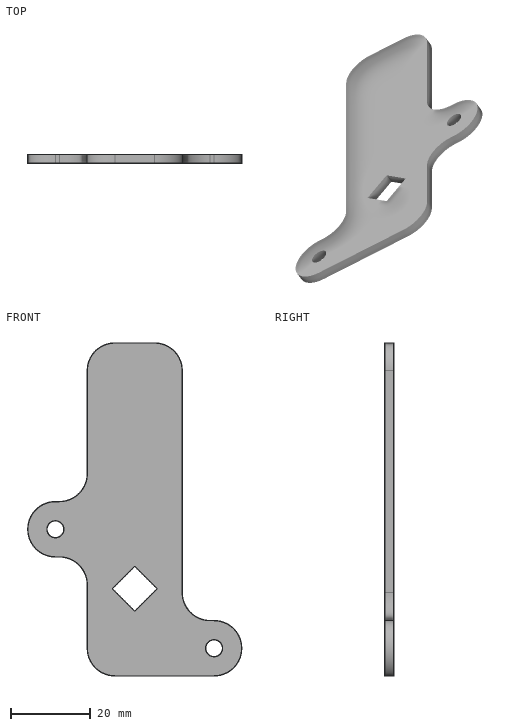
import cadquery as cq

thickness = 2.3
body_width = 24.0
body_height = 84.0
edge_radius = 7.0
lug_offset_x = 20.0
lug_offset_z = 15.0
lug_hole_diameter = 4.2
square_side = 8.0
square_rotation = 45.0

half_width = body_width / 2
body_bottom = -lug_offset_z - edge_radius
body_top = body_bottom + body_height
lug_centers = [(-lug_offset_x, lug_offset_z), (lug_offset_x, -lug_offset_z)]


def extrude_plate(sketch):
    """Extrude an XZ sketch through the plate thickness, centred on Y = 0."""
    return sketch.extrude(thickness).translate((0, thickness / 2, 0))


def make_body():
    """Upright bar with square corners."""
    mid_z = (body_top + body_bottom) / 2
    return extrude_plate(cq.Workplane("XZ").center(0, mid_z).rect(body_width, body_height))


def make_lug(center_x, center_z):
    """Round-ended arm reaching from the body centreline to a lug hole centre."""
    arm = cq.Workplane("XZ").center(center_x / 2, center_z).rect(abs(center_x), 2 * edge_radius)
    end = cq.Workplane("XZ").center(center_x, center_z).circle(edge_radius)
    return extrude_plate(arm).union(extrude_plate(end))


def corner_selector(x, z):
    """Select the through-thickness edge at one point of the outline."""
    return cq.selectors.NearestToPointSelector((x, 0, z))


def round_corners(plate):
    """Round the free body corners and the inside corners beside the lugs."""
    corners = [
        (-half_width, body_top),
        (half_width, body_top),
        (-half_width, body_bottom),
        (-half_width, lug_offset_z + edge_radius),
        (-half_width, lug_offset_z - edge_radius),
        (half_width, -lug_offset_z + edge_radius),
    ]
    for x, z in corners:
        plate = plate.edges("|Y").edges(corner_selector(x, z)).fillet(edge_radius)
    return plate


def cut_holes(plate):
    """Cut the lug holes and the square hole standing on its corner."""
    lug_holes = cq.Workplane("XZ").pushPoints(lug_centers).circle(lug_hole_diameter / 2)
    square_plane = cq.Workplane("XZ").transformed(rotate=(0, 0, square_rotation))
    square = square_plane.rect(square_side, square_side)
    return plate.cut(extrude_plate(lug_holes)).cut(extrude_plate(square))


plate = make_body()
for lug_x, lug_z in lug_centers:
    plate = plate.union(make_lug(lug_x, lug_z))
plate = round_corners(plate.clean())
result = cut_holes(plate)